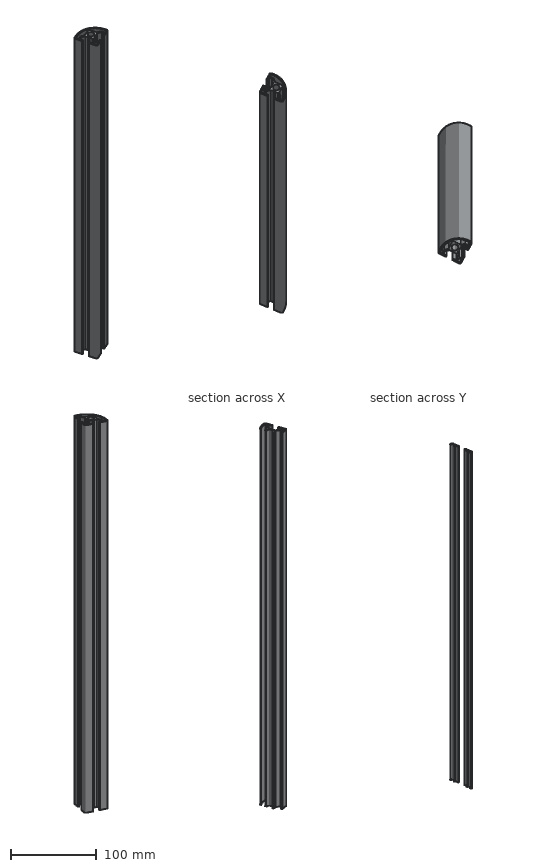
import cadquery as cq
import math


length = 500.0
half_side = 15.0

round_radius = 25.0
corner_radius = 2.1
skin = 1.75
inner_face = half_side - skin
round_centre = round_radius - half_side

slot_half = 4.0
mouth_bevel_width = 0.75
mouth_bevel_depth = 0.25
lip = 2.0
cavity_half = 8.25

core_half = 6.0
bore_diameter = 7.5
web = 1.5
web_outer = cavity_half + web
diagonal_offset = 1.5
round_web_offset = 1.5

pocket_size = inner_face - web_outer
pocket_centre = (inner_face + web_outer) / 2
pocket_radius = 0.5

mark_half = 1.25
mark_depth = 0.75


def base_plane():
    """Workplane at the lower end of the extrusion."""
    return cq.Workplane("XY").workplane(offset=-length / 2)


def prism(points):
    """Full-length prism over a closed outline."""
    return base_plane().polyline(points).close().extrude(length)


def mirrored(points):
    """Reflect points about the diagonal y = -x."""
    return [(-y, -x) for x, y in points]


def quarter_round(face, radius):
    """Full-length square bar with its -X+Y corner rounded."""
    arc_middle = radius * math.sqrt(0.5) - round_centre
    return (
        base_plane()
        .moveTo(-face, -round_centre)
        .threePointArc((-arc_middle, arc_middle), (round_centre, face))
        .lineTo(face, face)
        .lineTo(face, -face)
        .lineTo(-face, -face)
        .close()
        .extrude(length)
    )


def outer_bar():
    """Solid bar with all four long corners rounded."""
    bar = quarter_round(half_side, round_radius)
    bar = bar.edges("|Z and >X").fillet(corner_radius)
    return bar.edges("|Z").edges("<(1, 1, 0)").fillet(corner_radius)


def slot_outline():
    """T-slot open to -Y, with a bevelled mouth and a V mark in its floor."""
    right_side = [
        (mark_half, -core_half),
        (core_half - diagonal_offset, -core_half),
        (cavity_half, -cavity_half - diagonal_offset),
        (cavity_half, -half_side + lip),
        (slot_half, -half_side + lip),
        (slot_half, -half_side + mouth_bevel_depth),
        (slot_half + mouth_bevel_width, -half_side),
    ]
    left_side = [(-x, y) for x, y in reversed(right_side)]
    return left_side + [(0, -core_half + mark_depth)] + right_side


def chamber_outline():
    """Space on the -X side of the core, reaching out to the bar's -X face."""
    return [
        (-half_side, -inner_face),
        (-web_outer, -inner_face),
        (-web_outer, -web_outer + diagonal_offset),
        (-core_half, -core_half + diagonal_offset),
        (-core_half, core_half - round_web_offset),
        (-half_side, half_side - round_web_offset),
    ]


def corner_pocket():
    """Square hollow with rounded corners behind the +X-Y corner."""
    pocket = base_plane().center(pocket_centre, -pocket_centre).rect(pocket_size, pocket_size)
    return pocket.extrude(length).edges("|Z").fillet(pocket_radius)


result = outer_bar()

skin_inside = quarter_round(inner_face, round_radius - skin)
for slot in (slot_outline(), mirrored(slot_outline())):
    result = result.cut(prism(slot))
for chamber in (chamber_outline(), mirrored(chamber_outline())):
    result = result.cut(prism(chamber).intersect(skin_inside))

result = result.cut(corner_pocket())
result = result.cut(base_plane().circle(bore_diameter / 2).extrude(length))